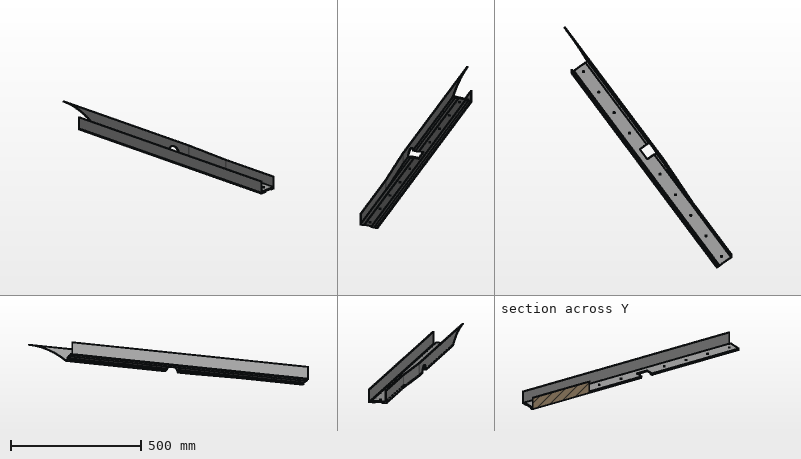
import cadquery as cq
import math

length = 1100.0
width = 80.0
height = 50.0

wall_thickness = 3.0
channel_start = 150.0
channel_length = length - channel_start
flange_width = 25.0
flange_thickness = 3.0

bend_start = 650.0
bend_end = 850.0
wall_offset = 10.0

plate_width = 55.0
plate_thickness = 5.0
plate_front_y = (width - plate_width) / 2
floor_height = flange_thickness + plate_thickness

hole_diameter = 5.0
hole_count = 10
hole_pitch = 100.0
first_hole_x = channel_start + 25.0

opening_x = 574.0
opening_radius = 25.0
opening_front_y = 35.0


def block(start, size):
    """Box with its lowest corner at start."""
    return cq.Workplane("XY").box(*size, centered=False).translate(start)


def rear_outline(start_x):
    """Outer edge of the rear wall, from start_x to the far end."""
    offset_y = width - wall_offset
    return [(start_x, width), (bend_start, width), (bend_end, offset_y), (length, offset_y)]


def front_angle():
    """Straight front wall with its inward flange."""
    wall = block((channel_start, 0, 0), (channel_length, wall_thickness, height))
    flange = block((channel_start, 0, 0), (channel_length, flange_width, flange_thickness))
    return wall.union(flange)


def below_tongue():
    """Region under the curved lower edge of the tongue; the arc is level at the tip."""
    radius = (channel_start**2 + height**2) / (2 * height)
    half_angle = math.asin(channel_start / radius) / 2
    arc_middle = (radius * math.sin(half_angle), height - radius * (1 - math.cos(half_angle)))
    return (
        cq.Workplane("XZ")
        .moveTo(0, height)
        .threePointArc(arc_middle, (channel_start, 0))
        .lineTo(0, 0)
        .close()
        .extrude(-width)
    )


def rear_angle():
    """Stepped rear wall with its tongue, and the flange with a straight inner edge."""
    outer = rear_outline(0)
    inner = [(x, y - wall_thickness) for x, y in reversed(outer)]
    wall = cq.Workplane("XY").polyline(outer + inner).close().extrude(height)

    flange_y = width - flange_width
    flange_inner = [(length, flange_y), (channel_start, flange_y)]
    flange_outline = rear_outline(channel_start) + flange_inner
    flange = cq.Workplane("XY").polyline(flange_outline).close().extrude(flange_thickness)
    return wall.cut(below_tongue()).union(flange)


def floor_plate():
    """Plate joining the two flanges."""
    start = (channel_start, plate_front_y, flange_thickness)
    return block(start, (channel_length, plate_width, plate_thickness))


def opening():
    """Cylinder lying along Y at base level, from inside the plate out through the rear wall."""
    return (
        cq.Workplane("XZ", origin=(opening_x, opening_front_y, 0))
        .circle(opening_radius)
        .extrude(opening_front_y - width)
    )


def fixing_holes():
    """Through holes along the centre line of the plate."""
    centres = [(first_hole_x + i * hole_pitch, width / 2) for i in range(hole_count)]
    return cq.Workplane("XY").pushPoints(centres).circle(hole_diameter / 2).extrude(floor_height)


channel = front_angle().union(rear_angle()).union(floor_plate())
result = channel.cut(opening()).cut(fixing_holes())